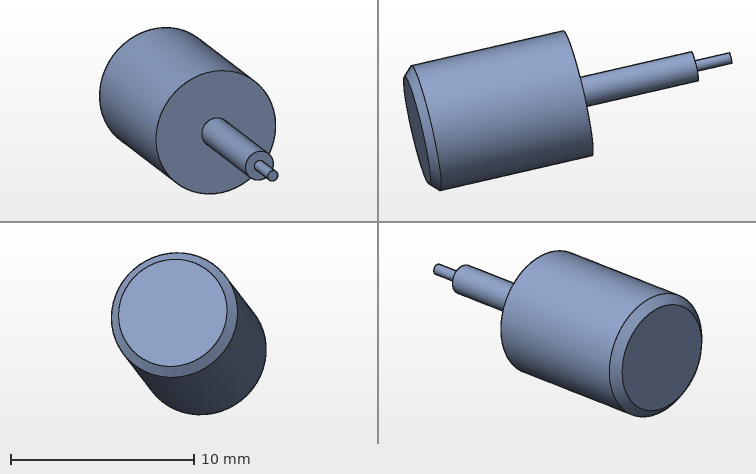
import cadquery as cq

total_length = 17.64
body_diameter = 7.0
body_length = 9.03
body_chamfer = 0.5
cable_diameter = 1.64
wire_diameter = 0.6
wire_length = 2.01

cable_length = total_length - body_length - wire_length


def cylinder_along_x(start, length, diameter):
    """Solid cylinder on the X axis, running in +X from the given start."""
    return cq.Workplane("YZ", origin=(start, 0, 0)).circle(diameter / 2).extrude(length)


body = cylinder_along_x(0, body_length, body_diameter)
body = body.faces("<X").edges().chamfer(body_chamfer)

cable = cylinder_along_x(body_length, cable_length, cable_diameter)
wire = cylinder_along_x(body_length + cable_length, wire_length, wire_diameter)

result = body.union(cable).union(wire)